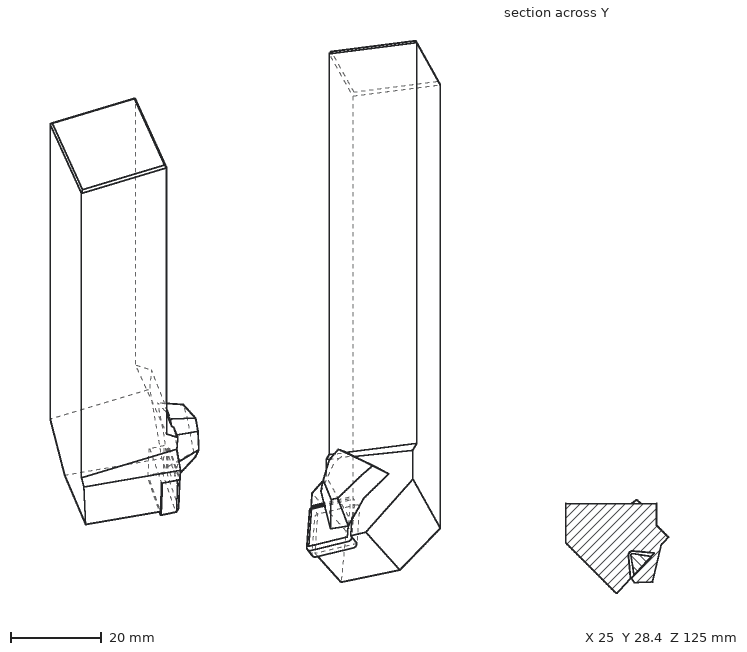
import cadquery as cq
import math

LENGTH = 125.0
SHANK_WIDTH = 20.0
END_CHAMFER_INSET = 0.8
END_CHAMFER_DROP = 0.4

BEVEL_SUM = 13.0
SHOULDER_Z = 16.9
TIP_X, TIP_Z = 22.6, 2.6
EDGE_TILT = math.tan(math.radians(5))
RELIEF = 0.085
LOFT_DEPTH = 25.0

STEP_Z = 23.8
RAKE_Y, RAKE_Z = 23.8, 20.0
RAKE_NORMAL = (0.06, 1.0, -0.055)

CLAMP_SINK = 0.5
CLAMP_HEIGHT = 5.6
CLAMP_MAX_Y = 28.4
CLAMP_BASE = [(5.4, 15.3), (15.6, 22.5), (18.4, 20.0), (21.5, 13.8), (19.4, 3.8), (15.0, 3.8), (11.3, 10.3)]
CLAMP_TOP = [(7.9, 14.9), (15.6, 20.0), (17.8, 17.9), (19.3, 13.1), (17.5, 8.1), (16.0, 8.1), (13.1, 10.5)]

NOSE_X, NOSE_Z = 25.1, -0.1
INSERT_EDGE = 10.5
INSERT_THICKNESS = 4.3
INSERT_CORNER_RADIUS = 0.9
INSERT_CHAMFER = 0.8


def rake_plane(sink):
    """Plane parallel to the rake face, sunk along Y; local x is +X and local y is -Z."""
    return cq.Plane(origin=(0, RAKE_Y - sink, RAKE_Z), xDir=(1, -RAKE_NORMAL[0], 0), normal=RAKE_NORMAL)


def on_rake(x, z, plane):
    """Local coordinates of the point of the plane that has the given X and Z."""
    nx, ny, nz = RAKE_NORMAL
    y = plane.origin.y - (nx * x + nz * (z - RAKE_Z)) / ny
    local = plane.toLocalCoords(cq.Vector(x, y, z))
    return local.x, local.y


def head_outline(depth):
    """Head outline at the given Y; the end and side flanks move outward with Y."""
    tip_x = TIP_X + RELIEF * depth
    tip_z = TIP_Z - RELIEF * depth
    bevel_x = (BEVEL_SUM - tip_z - EDGE_TILT * tip_x) / (1 - EDGE_TILT)
    shoulder_sum = SHANK_WIDTH + SHOULDER_Z
    shoulder_z = (shoulder_sum - tip_x - EDGE_TILT * tip_z) / (1 - EDGE_TILT)
    return [
        (0, BEVEL_SUM),
        (bevel_x, BEVEL_SUM - bevel_x),
        (tip_x, tip_z),
        (shoulder_sum - shoulder_z, shoulder_z),
        (SHANK_WIDTH, SHOULDER_Z),
        (SHANK_WIDTH, STEP_Z),
        (0, STEP_Z),
    ]


def outline_wire(depth):
    return cq.Wire.makePolygon([cq.Vector(x, depth, z) for x, z in head_outline(depth)], close=True)


def make_shank():
    bar = cq.Workplane("XY", origin=(0, 0, STEP_Z)).box(
        SHANK_WIDTH, SHANK_WIDTH, LENGTH - STEP_Z, centered=False
    )
    return bar.faces(">Z").chamfer(END_CHAMFER_INSET, END_CHAMFER_DROP)


def make_head():
    head = cq.Workplane(cq.Solid.makeLoft([outline_wire(0), outline_wire(LOFT_DEPTH)], True))
    step_waste = (
        cq.Workplane("YZ")
        .polyline([(SHANK_WIDTH, STEP_Z), (SHANK_WIDTH + STEP_Z, STEP_Z), (SHANK_WIDTH + STEP_Z, 0)])
        .close()
        .extrude(LENGTH)
    )
    rake_waste = cq.Workplane(rake_plane(0)).rect(LENGTH, LENGTH).extrude(LOFT_DEPTH)
    return head.cut(step_waste).cut(rake_waste)


def clamp_wire(outline, sink):
    plane = rake_plane(sink)
    return cq.Workplane(plane).polyline([on_rake(x, z, plane) for x, z in outline]).close().val()


def make_clamp_nose():
    wires = [clamp_wire(CLAMP_BASE, CLAMP_SINK), clamp_wire(CLAMP_TOP, -CLAMP_HEIGHT)]
    nose = cq.Workplane(cq.Solid.makeLoft(wires, True))
    waste = cq.Workplane("XZ", origin=(0, CLAMP_MAX_Y, 0)).rect(LENGTH, LENGTH).extrude(-LOFT_DEPTH)
    return nose.cut(waste)


def make_insert_blank():
    """Insert before its upper rim is chamfered, flush with the rake face."""
    plane = rake_plane(0)
    tilt = math.atan(EDGE_TILT)
    along = INSERT_EDGE * math.cos(tilt)
    across = INSERT_EDGE * math.sin(tilt)
    corners = [
        (NOSE_X, NOSE_Z),
        (NOSE_X - across, NOSE_Z + along),
        (NOSE_X - across - along, NOSE_Z + along + across),
        (NOSE_X - along, NOSE_Z + across),
    ]
    return (
        cq.Workplane(plane)
        .polyline([on_rake(x, z, plane) for x, z in corners])
        .close()
        .extrude(-INSERT_THICKNESS)
        .edges(cq.selectors.ParallelDirSelector(cq.Vector(*RAKE_NORMAL)))
        .fillet(INSERT_CORNER_RADIUS)
    )


insert_blank = make_insert_blank()
insert = insert_blank.faces(cq.selectors.DirectionMinMaxSelector(cq.Vector(*RAKE_NORMAL))).chamfer(INSERT_CHAMFER)
holder = make_shank().union(make_head()).union(make_clamp_nose()).cut(insert_blank)

result = cq.Compound.makeCompound([holder.val(), insert.val()])